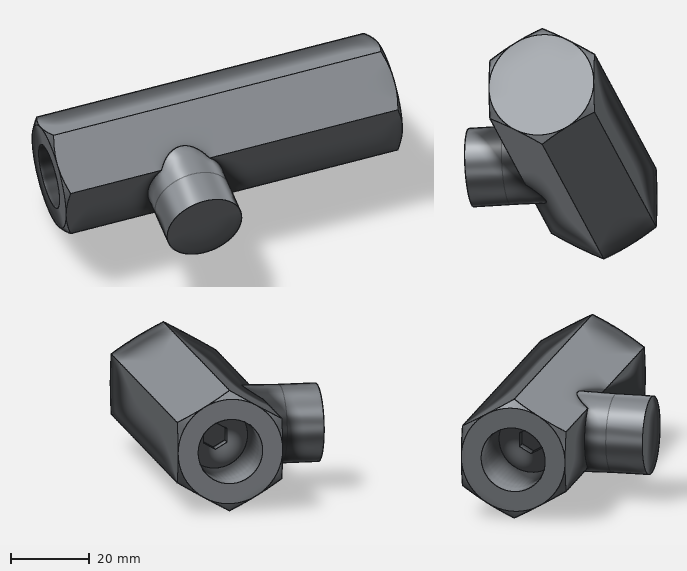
import cadquery as cq
import math

body_length = 90.0
half_length = body_length / 2
across_flats = 27.0
corner_radius = across_flats / 2 / math.cos(math.radians(30))

end_face_diameter = across_flats
chamfer_angle = 30.0

bore_diameter = 16.65
bore_depth = 20.0
socket_across_flats = 6.0
socket_depth = 3.0

spigot_diameter = 20.0
spigot_y = -13.05
spigot_reach = 15.0
spigot_straight_length = 9.5
collar_root_diameter = 20.8


def hexagonal_prism(flats, start_y, length):
    """Hexagonal prism from start_y towards +Y, with two corners on the Z axis."""
    radius = flats / 2 / math.cos(math.radians(30))
    angles = [math.radians(30 + 60 * corner) for corner in range(6)]
    corners = [(radius * math.cos(angle), radius * math.sin(angle)) for angle in angles]
    plane = cq.Workplane("XZ", origin=(0, start_y, 0))
    return plane.polyline(corners).close().extrude(-length)


def make_body():
    """Hexagonal bar limited by a round blank with conical ends."""
    end_radius = end_face_diameter / 2
    chamfer_length = (corner_radius - end_radius) * math.tan(math.radians(chamfer_angle))
    shoulder_y = half_length - chamfer_length
    blank = (
        cq.Workplane("XY")
        .moveTo(0, -half_length)
        .lineTo(end_radius, -half_length)
        .lineTo(corner_radius, -shoulder_y)
        .lineTo(corner_radius, shoulder_y)
        .lineTo(end_radius, half_length)
        .lineTo(0, half_length)
        .close()
        .revolve(360, (0, 0), (0, 1))
    )
    return hexagonal_prism(across_flats, -half_length, body_length).intersect(blank)


def make_spigot():
    """Tapered collar and straight end, revolved about the spigot axis."""
    end_x = across_flats / 2 + spigot_reach
    collar_end_x = end_x - spigot_straight_length
    return (
        cq.Workplane("XZ", origin=(0, spigot_y, 0))
        .moveTo(0, 0)
        .lineTo(0, collar_root_diameter / 2)
        .lineTo(collar_end_x, spigot_diameter / 2)
        .lineTo(end_x, spigot_diameter / 2)
        .lineTo(end_x, 0)
        .close()
        .revolve(360, (0, 0), (1, 0))
    )


def make_bore():
    """Bore from the -Y end face, continued by the hexagonal socket."""
    end_plane = cq.Workplane("XZ", origin=(0, -half_length, 0))
    bore = end_plane.circle(bore_diameter / 2).extrude(-bore_depth)
    socket = hexagonal_prism(socket_across_flats, -half_length + bore_depth, socket_depth)
    return bore.union(socket)


result = make_body().union(make_spigot()).cut(make_bore())